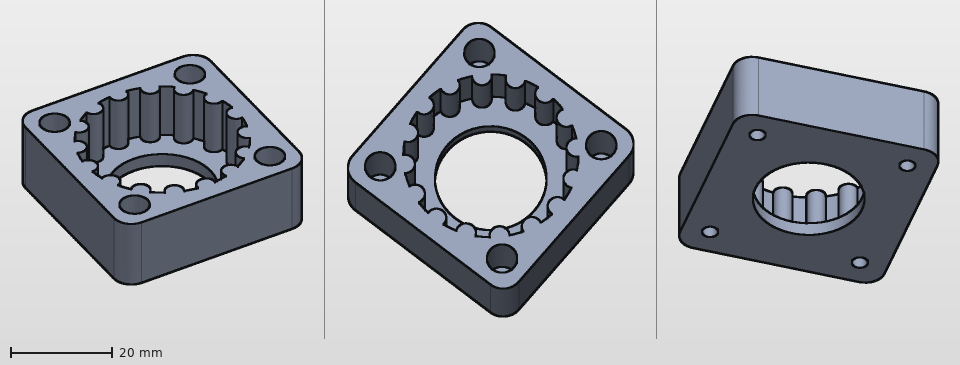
import cadquery as cq

width_x = 42.3
length_y = 42.45
height = 15.0
corner_radius = 4.0

floor_thickness = 3.0
pocket_depth = height - floor_thickness
pocket_diameter = 34.55
bore_diameter = 22.0

pin_count = 16
pin_diameter = 3.9
pin_circle_diameter = 33.95

screw_spacing = 30.97
screw_diameter = 3.2
counterbore_diameter = 6.0
counterbore_depth = pocket_depth


def make_housing():
    """Rounded block with the pocket and the bore through its floor."""
    block = cq.Workplane("XY").box(width_x, length_y, height, centered=(True, True, False))
    block = block.edges("|Z").fillet(corner_radius)
    return block.faces(">Z").workplane().cboreHole(bore_diameter, pocket_diameter, pocket_depth)


def make_pins():
    """Full-height ring pins, flush with the top face."""
    return (
        cq.Workplane("XY")
        .workplane(offset=floor_thickness)
        .polarArray(pin_circle_diameter / 2, 0, 360, pin_count)
        .circle(pin_diameter / 2)
        .extrude(pocket_depth)
    )


def cut_screw_holes(body):
    """Counterbored through holes on a square pattern."""
    return (
        body.faces(">Z")
        .workplane(origin=(0, 0, height))
        .rarray(screw_spacing, screw_spacing, 2, 2)
        .cboreHole(screw_diameter, counterbore_diameter, counterbore_depth)
    )


result = cut_screw_holes(make_housing().union(make_pins()))